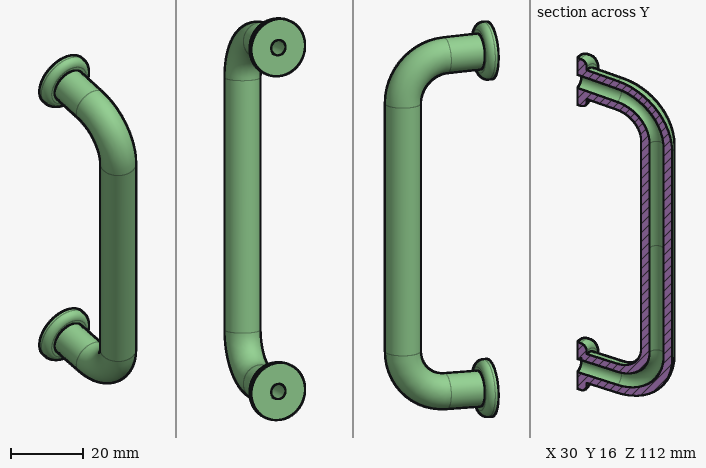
import cadquery as cq
import math

HEIGHT = 112.0
DEPTH = 30.0

TUBE_DIAMETER = 10.0
BORE_DIAMETER = 4.3
BEND_RADIUS = 12.5
LEG_TILT = 1.0

FLANGE_DIAMETER = 16.0
FLANGE_THICKNESS = 3.0
FLANGE_ROUND = 2.0

FOOT_Z = (HEIGHT - FLANGE_DIAMETER) / 2
GRIP_X = DEPTH - TUBE_DIAMETER / 2
TILT = math.radians(LEG_TILT)
BEND_CENTER_X = GRIP_X - BEND_RADIUS
LEG_END_X = BEND_CENTER_X + BEND_RADIUS * math.sin(TILT)
LEG_END_Z = FOOT_Z - LEG_END_X * math.tan(TILT)
GRIP_END_Z = LEG_END_Z - BEND_RADIUS * math.cos(TILT)

OVERRUN = 2.2


def half_bar(diameter):
    """Round bar from the middle of the grip, through the bend, to past the upper foot."""
    path = (
        cq.Workplane("XZ")
        .moveTo(GRIP_X, 0)
        .lineTo(GRIP_X, GRIP_END_Z)
        .tangentArcPoint((LEG_END_X, LEG_END_Z), relative=False)
        .lineTo(-OVERRUN, FOOT_Z + OVERRUN * math.tan(TILT))
    )
    return cq.Workplane("XY").center(GRIP_X, 0).circle(diameter / 2).sweep(path)


def mounting_flange():
    """Disc at the upper foot, rounded on the side facing the grip."""
    return (
        cq.Workplane("YZ")
        .center(0, FOOT_Z)
        .circle(FLANGE_DIAMETER / 2)
        .extrude(FLANGE_THICKNESS)
        .faces(">X")
        .edges()
        .fillet(FLANGE_ROUND)
    )


mounting_side = cq.Workplane("XY").box(DEPTH, HEIGHT, HEIGHT, centered=(False, True, True))

upper_half = (
    half_bar(TUBE_DIAMETER)
    .intersect(mounting_side)
    .union(mounting_flange())
    .cut(half_bar(BORE_DIAMETER))
)

result = upper_half.union(upper_half.mirror("XY")).clean()